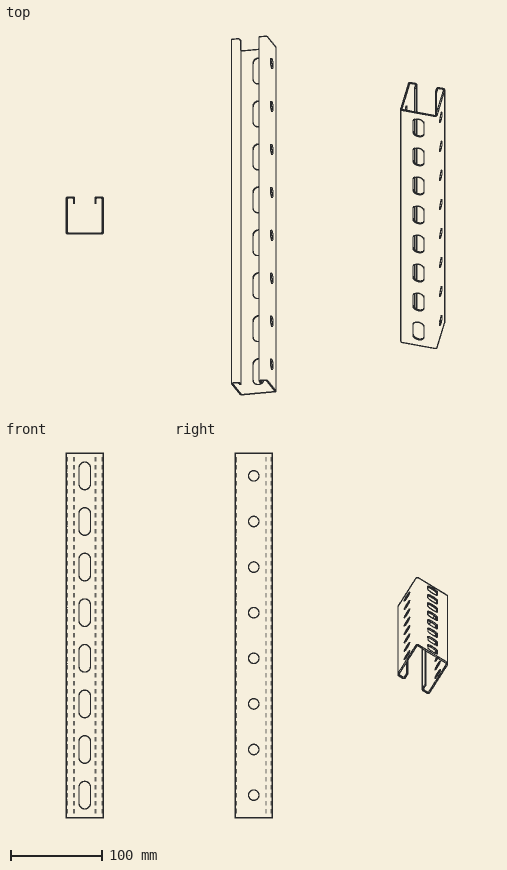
import cadquery as cq

length = 400.0
inner_width = 38.0
both_walls = 3.0
width = inner_width + both_walls
depth = width
sheet = both_walls / 2
bend_radius = 2.5
inner_bend_radius = bend_radius - sheet

opening = 22.0
lip_depth = 7.0

hole_count = 8
pitch = length / hole_count
slot_length = 30.0
slot_width = 12.5
side_hole_diameter = 11.0


def fillet_corners(body, corners, radius):
    """Round the lengthwise edge at each (x, y) corner."""
    for x, y in corners:
        edge = cq.selectors.NearestToPointSelector((x, y, length / 2))
        body = body.edges("|Z").edges(edge).fillet(radius)
    return body


def both_sides(points):
    """The given right-hand points followed by their mirror image in X, in reverse order."""
    return points + [(-x, y) for x, y in reversed(points)]


def lipped_channel():
    """Extruded C profile with every bend rounded inside and outside."""
    outer_x = width / 2
    inner_x = outer_x - sheet
    lip_x = opening / 2
    back_y = -depth / 2
    front_y = depth / 2

    outer_corners = [(outer_x, back_y), (outer_x, front_y), (lip_x, front_y)]
    lip_tip = [(lip_x, front_y - lip_depth), (lip_x + sheet, front_y - lip_depth)]
    inner_corners = [
        (lip_x + sheet, front_y - sheet),
        (inner_x, front_y - sheet),
        (inner_x, back_y + sheet),
    ]

    outline = both_sides(outer_corners + lip_tip + inner_corners)
    body = cq.Workplane("XY").polyline(outline).close().extrude(length)
    body = fillet_corners(body, both_sides(inner_corners), inner_bend_radius)
    return fillet_corners(body, both_sides(outer_corners), bend_radius)


def pitch_points():
    """Perforation centres along the length, half a pitch in from each end."""
    return [(0, (index + 0.5) * pitch) for index in range(hole_count)]


def back_slots():
    """Lengthwise slots through the back only."""
    return (
        cq.Workplane("XZ", origin=(0, -depth / 2 + sheet, 0))
        .pushPoints(pitch_points())
        .slot2D(slot_length, slot_width, 90)
        .extrude(sheet)
    )


def side_holes():
    """Round holes through both side walls."""
    return (
        cq.Workplane("YZ")
        .pushPoints(pitch_points())
        .circle(side_hole_diameter / 2)
        .extrude(width / 2, both=True)
    )


result = lipped_channel().cut(back_slots()).cut(side_holes())